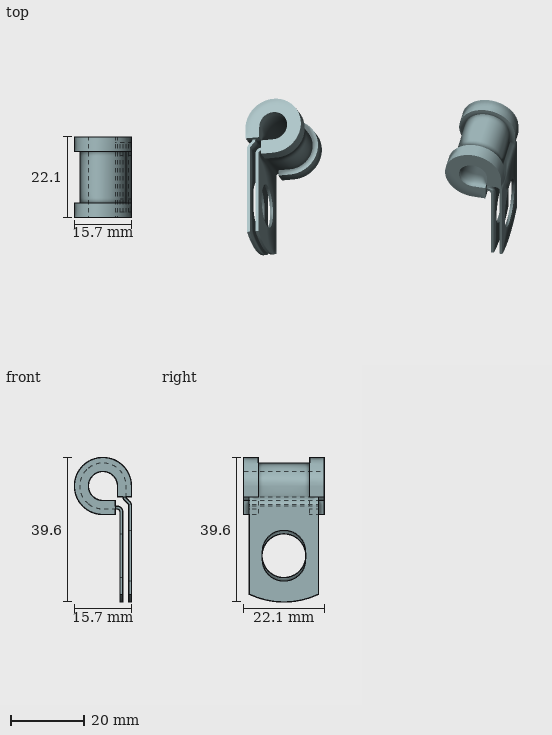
import cadquery as cq
import math

cushion_radius = 7.83
bore_radius = 3.94
cushion_length = 22.1
flange_width = 4.05
side_leg_end_z = -2.95
bottom_leg_end_x = 3.43

strap_thickness = 0.82
strap_radius = 6.3
strap_width = 19.0
tab_gap = 1.56
tab_bottom_z = -31.74
tab_end_radius = 22.0
tab_corner_bend = 0.83
jog_upper_bend = 0.4
jog_lower_bend = 1.6
jog_end_z = -5.06
jog_angle = math.radians(45)
strap_embed = 0.5

hole_diameter = 11.9
hole_z = -19.05
slot_straight_length = 2.0

groove_length = cushion_length - 2 * flange_width
strap_inner_radius = strap_radius - strap_thickness
outer_tab_right = cushion_radius
outer_tab_left = outer_tab_right - strap_thickness
inner_tab_right = outer_tab_left - tab_gap
inner_tab_left = inner_tab_right - strap_thickness


def centred_extrusion(sketch, length):
    """Extrude an XZ outline symmetrically about the Y = 0 plane."""
    return sketch.extrude(length / 2, both=True)


def c_ring(outer_radius, length):
    """C-shaped ring: three quarters of a round wall plus two straight legs."""
    diagonal = math.sqrt(0.5)
    sketch = (
        cq.Workplane("XZ")
        .moveTo(outer_radius, side_leg_end_z)
        .lineTo(outer_radius, 0)
        .threePointArc((-outer_radius * diagonal, outer_radius * diagonal), (0, -outer_radius))
        .lineTo(bottom_leg_end_x, -outer_radius)
        .lineTo(bottom_leg_end_x, -bore_radius)
        .lineTo(0, -bore_radius)
        .threePointArc((-bore_radius * diagonal, bore_radius * diagonal), (bore_radius, 0))
        .lineTo(bore_radius, side_leg_end_z)
        .close()
    )
    return centred_extrusion(sketch, length)


def bend_edge(body, corner, radius):
    """Round the edge along Y that passes through an XZ corner."""
    x, z = corner
    return body.edges("|Y").edges(cq.NearestToPointSelector((x, 0, z))).fillet(radius)


def inner_tab():
    """Strap end that leaves the bottom leg and turns down into a tab."""
    outer_corner = (inner_tab_right, -strap_inner_radius)
    inner_corner = (inner_tab_left, -strap_radius)
    start_x = bottom_leg_end_x - strap_embed
    sketch = cq.Workplane("XZ").polyline([
        (start_x, -strap_inner_radius),
        outer_corner,
        (inner_tab_right, tab_bottom_z),
        (inner_tab_left, tab_bottom_z),
        inner_corner,
        (start_x, -strap_radius),
    ]).close()
    tab = centred_extrusion(sketch, strap_width)
    tab = bend_edge(tab, outer_corner, tab_corner_bend + strap_thickness)
    return bend_edge(tab, inner_corner, tab_corner_bend)


def outer_tab():
    """Strap end that leaves the side leg and jogs outward into a tab."""
    mitre_rise = strap_thickness * math.tan(jog_angle / 2)
    jog_start_z = jog_end_z + (outer_tab_left - strap_inner_radius) / math.tan(jog_angle)
    upper_left = (strap_inner_radius, jog_start_z)
    upper_right = (strap_radius, jog_start_z + mitre_rise)
    lower_right = (outer_tab_right, jog_end_z + mitre_rise)
    lower_left = (outer_tab_left, jog_end_z)
    start_z = side_leg_end_z + strap_embed
    sketch = cq.Workplane("XZ").polyline([
        (strap_inner_radius, start_z),
        upper_left,
        lower_left,
        (outer_tab_left, tab_bottom_z),
        (outer_tab_right, tab_bottom_z),
        lower_right,
        upper_right,
        (strap_radius, start_z),
    ]).close()
    tab = centred_extrusion(sketch, strap_width)
    tab = bend_edge(tab, upper_left, jog_upper_bend + strap_thickness)
    tab = bend_edge(tab, upper_right, jog_upper_bend)
    return bend_edge(tab, lower_right, jog_lower_bend)


def tab_outline():
    """Block along X with the round-ended outline of the tabs."""
    half_width = strap_width / 2
    end_rise = tab_end_radius - math.sqrt(tab_end_radius**2 - half_width**2)
    return (
        cq.Workplane("YZ")
        .moveTo(-half_width, 0)
        .lineTo(-half_width, tab_bottom_z + end_rise)
        .threePointArc((0, tab_bottom_z), (half_width, tab_bottom_z + end_rise))
        .lineTo(half_width, 0)
        .close()
        .extrude(cushion_radius)
    )


def screw_hole():
    """Round cutter for the inner tab."""
    return cq.Workplane("YZ").center(0, hole_z).circle(hole_diameter / 2).extrude(cushion_radius)


def screw_slot():
    """Slotted cutter, upright along Z, for the outer tab."""
    slot_length = hole_diameter + slot_straight_length
    return cq.Workplane("YZ").center(0, hole_z).slot2D(slot_length, hole_diameter, 90).extrude(cushion_radius)


def cushion():
    """Grooved middle stretch with a full-size flange at each end."""
    body = c_ring(strap_radius, groove_length)
    flange_offset = (cushion_length - flange_width) / 2
    for side in (-1, 1):
        flange = c_ring(cushion_radius, flange_width).translate((0, side * flange_offset, 0))
        body = body.union(flange)
    return body


outline = tab_outline()
drilled_tab = inner_tab().intersect(outline).cut(screw_hole())
slotted_tab = outer_tab().intersect(outline).cut(screw_slot())
result = cushion().union(drilled_tab).union(slotted_tab)